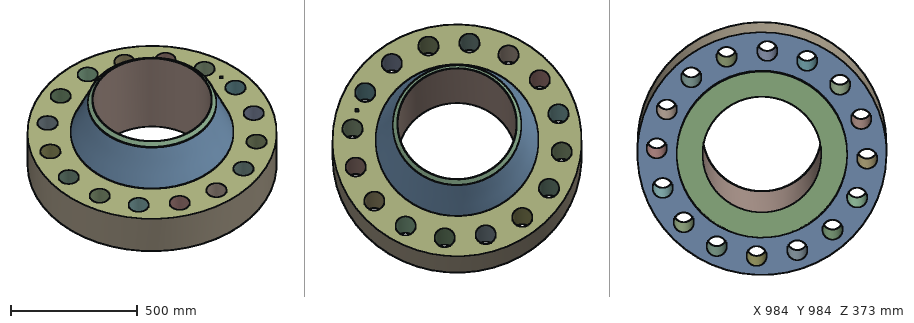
import cadquery as cq

flange_diameter = 984.0
flange_thickness = 178.0
face_diameter = 673.0
face_height = 17.0
flange_top = face_height + flange_thickness

overall_height = 373.0
hub_base_diameter = 644.0
hub_base_height = 3.0
weld_end_diameter = 508.0
weld_band_height = 5.0
bevel_height = 13.0
bevel_top_diameter = 473.0
bore_diameter = 468.0
bevel_start = overall_height - bevel_height
taper_end = bevel_start - weld_band_height

bolt_count = 16
bolt_circle_diameter = 831.0
bolt_hole_diameter = 80.0

pin_hole_diameter = 13.0
pin_hole_depth = 30.0
bolt_pitch_angle = 360 / bolt_count
pin_hole_angle = 90 + bolt_pitch_angle / 2


def make_body():
    """Revolve the half section of the bored flange and hub about Z."""
    section = [
        (bore_diameter / 2, 0),
        (face_diameter / 2, 0),
        (face_diameter / 2, face_height),
        (flange_diameter / 2, face_height),
        (flange_diameter / 2, flange_top),
        (hub_base_diameter / 2, flange_top),
        (hub_base_diameter / 2, flange_top + hub_base_height),
        (weld_end_diameter / 2, taper_end),
        (weld_end_diameter / 2, bevel_start),
        (bevel_top_diameter / 2, overall_height),
        (bore_diameter / 2, overall_height),
    ]
    return cq.Workplane("XZ").polyline(section).close().revolve(360, (0, 0), (0, 1))


def bolt_circle_cutters(diameter, depth, start_angle, count):
    """Cylinders on the bolt circle, running down from the upper flange surface."""
    return (
        cq.Workplane("XY", origin=(0, 0, flange_top))
        .polarArray(bolt_circle_diameter / 2, start_angle, 360, count)
        .circle(diameter / 2)
        .extrude(-depth)
    )


bolt_holes = bolt_circle_cutters(bolt_hole_diameter, flange_thickness, 0, bolt_count)
pin_hole = bolt_circle_cutters(pin_hole_diameter, pin_hole_depth, pin_hole_angle, 1)

result = make_body().cut(bolt_holes).cut(pin_hole)